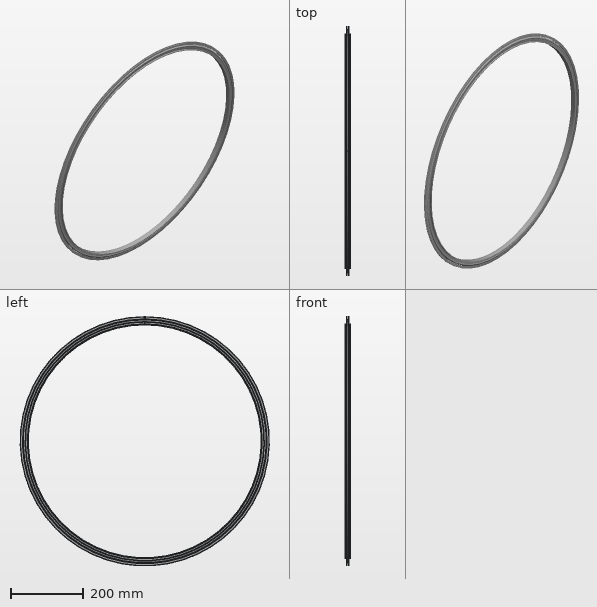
import cadquery as cq
import math

bore_radius = 322.9
sleeve_outer_radius = 325.5
sleeve_width = 14.0
cord_radius = 3.5
cord_center_radius = 334.0
seat_width = 5.6
retainer_outer_radius = 345.5
retainer_inner_radius = 338.5
retainer_plate_gap = 3.0
carrier_slit = 0.5
retainer_slit = 2.0

half_sleeve = sleeve_width / 2
half_seat = seat_width / 2
seat_rim_radius = cord_center_radius - math.sqrt(cord_radius**2 - half_seat**2)
seat_bottom_radius = cord_center_radius - cord_radius
plate_thickness = (seat_width - retainer_plate_gap) / 2
plate_offset = (retainer_plate_gap + plate_thickness) / 2


def revolve_about_x(profile):
    """Turn a closed XZ profile a full circle about the X axis."""
    return profile.close().revolve(360, (0, 0, 0), (1, 0, 0))


def cut_top_slit(ring, slit_width):
    """Split a ring open at its top with a narrow slit on the XZ plane."""
    slit_height = 2 * retainer_outer_radius
    slit = cq.Workplane("XY").box(2 * sleeve_width, slit_width, slit_height)
    return ring.cut(slit.translate((0, 0, slit_height / 2)))


def make_carrier():
    """Sleeve with a central rib whose concave rim seats the sealing cord."""
    profile = (
        cq.Workplane("XZ")
        .moveTo(-half_sleeve, bore_radius)
        .lineTo(half_sleeve, bore_radius)
        .lineTo(half_sleeve, sleeve_outer_radius)
        .lineTo(half_seat, sleeve_outer_radius)
        .lineTo(half_seat, seat_rim_radius)
        .threePointArc((0, seat_bottom_radius), (-half_seat, seat_rim_radius))
        .lineTo(-half_seat, sleeve_outer_radius)
        .lineTo(-half_sleeve, sleeve_outer_radius)
    )
    return cut_top_slit(revolve_about_x(profile), carrier_slit)


def make_sealing_cord():
    """Round-section sealing ring resting in the seat of the carrier."""
    return (
        cq.Workplane("XZ")
        .center(0, cord_center_radius)
        .circle(cord_radius)
        .revolve(360, (0, -cord_center_radius, 0), (1, -cord_center_radius, 0))
    )


def make_retainer_plate(center_x):
    """Flat split ring around the sealing cord, centred at the given X."""
    left = center_x - plate_thickness / 2
    right = center_x + plate_thickness / 2
    profile = (
        cq.Workplane("XZ")
        .moveTo(left, retainer_inner_radius)
        .lineTo(right, retainer_inner_radius)
        .lineTo(right, retainer_outer_radius)
        .lineTo(left, retainer_outer_radius)
    )
    return cut_top_slit(revolve_about_x(profile), retainer_slit)


carrier = make_carrier()
sealing_cord = make_sealing_cord()
retainer_plates = [make_retainer_plate(side * plate_offset) for side in (-1, 1)]

result = cq.Compound.makeCompound(
    [carrier.val(), sealing_cord.val(), *[plate.val() for plate in retainer_plates]]
)